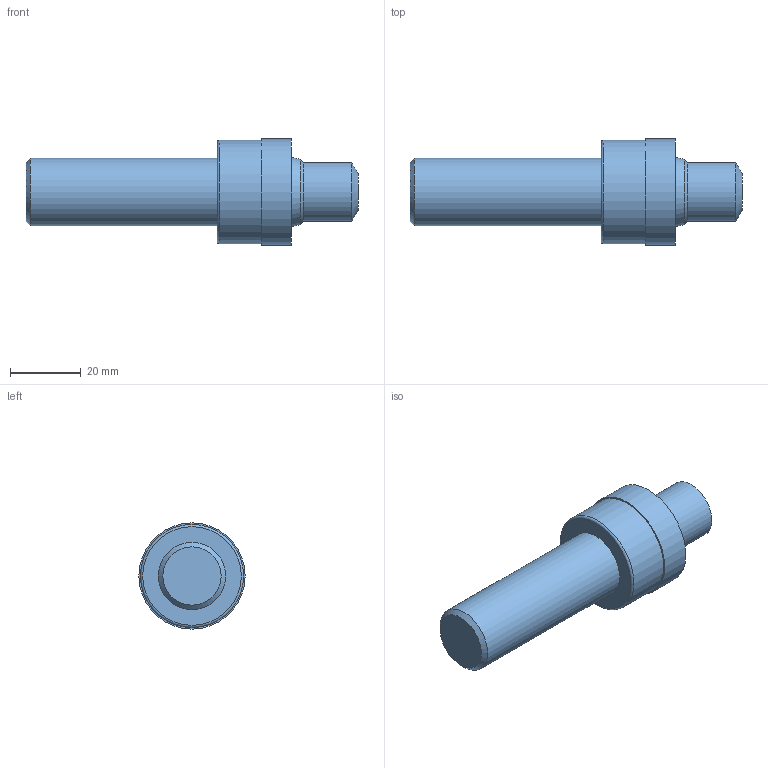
import cadquery as cq
import math


shank_length = 54.1
shank_radius = 19.05 / 2
shank_chamfer = 1.27

collar_body_length = 12.5
collar_body_radius = 29.21 / 2
collar_edge_fillet = 0.635
rim_length = 8.5
rim_radius = 30.074 / 2

shoulder_taper_length = 2.54
shoulder_taper_angle = 15
shoulder_chamfer = 0.85

nose_radius = 16.66 / 2
nose_length = 18.88
tip_chamfer_length = 1.78
tip_angle = 60

shank_end = -shank_length
rim_start = collar_body_length
rim_end = rim_start + rim_length
shoulder_taper_end = rim_end + shoulder_taper_length
shoulder_end = shoulder_taper_end + shoulder_chamfer
nose_end = rim_end + nose_length

shoulder_small_radius = nose_radius + shoulder_chamfer
shoulder_large_radius = (
    shoulder_small_radius + shoulder_taper_length * math.tan(math.radians(shoulder_taper_angle))
)

tip_radius = nose_radius - tip_chamfer_length * math.tan(math.radians(tip_angle))


def make_shank():
    shank = cq.Workplane("YZ", origin=(shank_end, 0, 0)).circle(shank_radius).extrude(shank_length)
    return shank.faces("<X").chamfer(shank_chamfer)


def make_collar():
    body = cq.Workplane("YZ").circle(collar_body_radius).extrude(collar_body_length)
    body = body.faces("<X").edges().fillet(collar_edge_fillet)
    rim = cq.Workplane("YZ", origin=(rim_start, 0, 0)).circle(rim_radius).extrude(rim_length)
    return body.union(rim)


def make_nose():
    """Revolve the tapered shoulder, the nose cylinder and its tapered tip."""
    profile = (
        cq.Workplane("XY")
        .moveTo(rim_end, 0)
        .lineTo(rim_end, shoulder_large_radius)
        .lineTo(shoulder_taper_end, shoulder_small_radius)
        .lineTo(shoulder_end, nose_radius)
        .lineTo(nose_end - tip_chamfer_length, nose_radius)
        .lineTo(nose_end, tip_radius)
        .lineTo(nose_end, 0)
        .close()
    )
    return profile.revolve(360, (0, 0, 0), (1, 0, 0))


result = make_shank().union(make_collar()).union(make_nose())